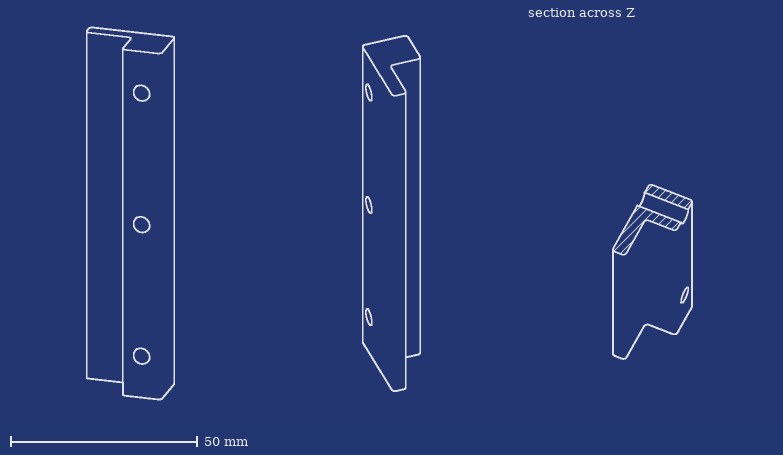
import cadquery as cq

length = 100.0
width = 24.0
depth = 13.0
flange_thickness = 4.0
block_width = 11.0
edge_radius = 1.0
inner_radius = 1.0
hole_diameter = 4.5
hole_pitch = 38.0
hole_count = 3

flange_reach = width - block_width
hole_x = flange_reach + block_width / 2


def make_bar():
    """Extrude the L-shaped section along Z, then round its lengthwise edges."""
    bar = (
        cq.Workplane("XY")
        .moveTo(0, depth)
        .lineTo(width, depth)
        .lineTo(width, 0)
        .lineTo(flange_reach, 0)
        .lineTo(flange_reach, depth - flange_thickness)
        .lineTo(0, depth - flange_thickness)
        .close()
        .extrude(length)
    )
    inner_corner = cq.selectors.NearestToPointSelector(
        (flange_reach, depth - flange_thickness, length / 2)
    )
    lengthwise = cq.selectors.ParallelDirSelector(cq.Vector(0, 0, 1))
    outer_edges = cq.selectors.SubtractSelector(lengthwise, inner_corner)
    bar = bar.edges(outer_edges).fillet(edge_radius)
    return bar.edges(inner_corner).fillet(inner_radius)


def make_holes():
    """Row of cylinders through the thick block along Y, centred on the length."""
    first_z = length / 2 - hole_pitch * (hole_count - 1) / 2
    centres = [(hole_x, first_z + i * hole_pitch) for i in range(hole_count)]
    return (
        cq.Workplane("XZ")
        .pushPoints(centres)
        .circle(hole_diameter / 2)
        .extrude(-depth)
    )


result = make_bar().cut(make_holes())